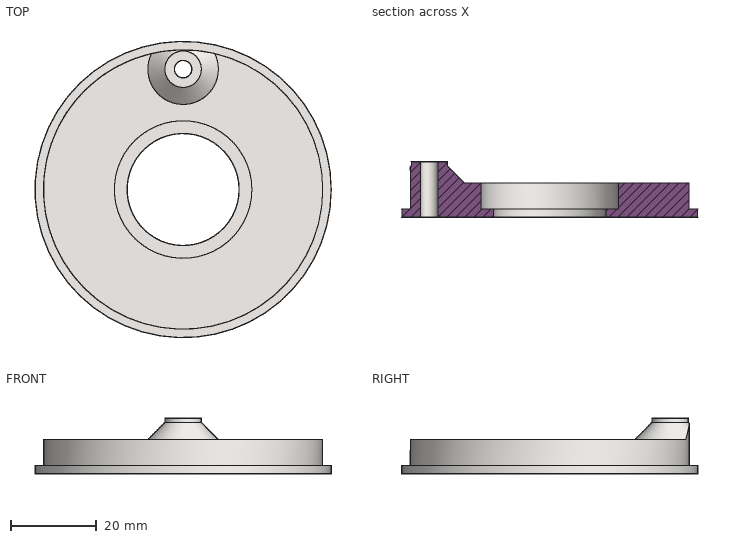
import cadquery as cq

flange_diameter = 69
flange_thickness = 2.0
body_diameter = 65.0
body_top = 8.0

bore_diameter = 26.0
counterbore_diameter = 32.0

nozzle_offset = 28.0
nozzle_base_diameter = 16.4
nozzle_tip_diameter = 8.5
nozzle_hole_diameter = 4.0
nozzle_top = 13.0
collar_height = 1.0


def cylinder(diameter, bottom, top):
    """Upright cylinder on the Z axis between two heights."""
    return cq.Workplane("XY").workplane(offset=bottom).circle(diameter / 2).extrude(top - bottom)


def make_nozzle():
    """Cone with a short straight collar, trimmed flush with the body wall."""
    base_radius = nozzle_base_diameter / 2
    tip_radius = nozzle_tip_diameter / 2
    profile = [
        (0, flange_thickness),
        (base_radius, flange_thickness),
        (base_radius, body_top),
        (tip_radius, nozzle_top - collar_height),
        (tip_radius, nozzle_top),
        (0, nozzle_top),
    ]
    nozzle = cq.Workplane("XZ").polyline(profile).close().revolve(360, (0, 0, 0), (0, 1, 0))
    nozzle = nozzle.translate((0, nozzle_offset, 0))
    return nozzle.intersect(cylinder(body_diameter, 0, nozzle_top))


flange = cylinder(flange_diameter, 0, flange_thickness)
body = cylinder(body_diameter, 0, body_top)
bore = cylinder(bore_diameter, 0, body_top)
counterbore = cylinder(counterbore_diameter, flange_thickness, body_top)
nozzle_hole = cylinder(nozzle_hole_diameter, 0, nozzle_top).translate((0, nozzle_offset, 0))

result = flange.union(body).union(make_nozzle()).cut(bore).cut(counterbore).cut(nozzle_hole)